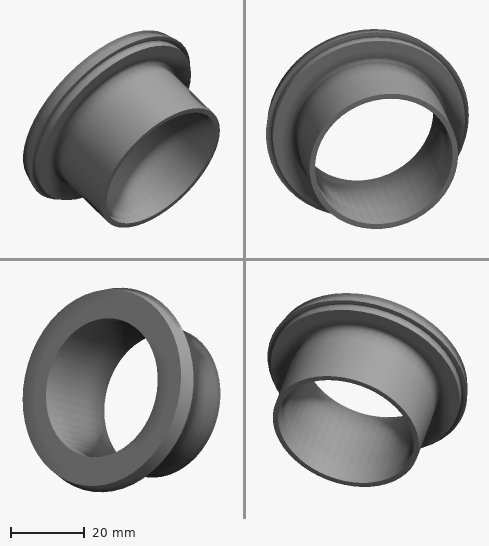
import cadquery as cq
import math

total_length = 26.0
bore_radius = 19.0
sleeve_radius = 20.5

rim_radius = 28.0
rim_length = 4.0
rim_taper_angle = 15.0

shoulder_radius = 26.5
shoulder_length = 2.2
fillet_radius = 1.0

rim_face_radius = rim_radius - rim_length * math.tan(math.radians(rim_taper_angle))
flange_length = rim_length + shoulder_length


def sleeve_half_section():
    """Half section in the XY plane, with Y as the radius; flange face at X = 0."""
    fillet_reach = fillet_radius * (1 - math.sqrt(0.5))
    return (
        cq.Workplane("XY")
        .moveTo(0, bore_radius)
        .lineTo(0, rim_face_radius)
        .lineTo(rim_length, rim_radius)
        .lineTo(rim_length, shoulder_radius)
        .lineTo(flange_length, shoulder_radius)
        .lineTo(flange_length, sleeve_radius + fillet_radius)
        .threePointArc(
            (flange_length + fillet_reach, sleeve_radius + fillet_reach),
            (flange_length + fillet_radius, sleeve_radius),
        )
        .lineTo(total_length, sleeve_radius)
        .lineTo(total_length, bore_radius)
        .close()
    )


result = sleeve_half_section().revolve(360, (0, 0, 0), (1, 0, 0))